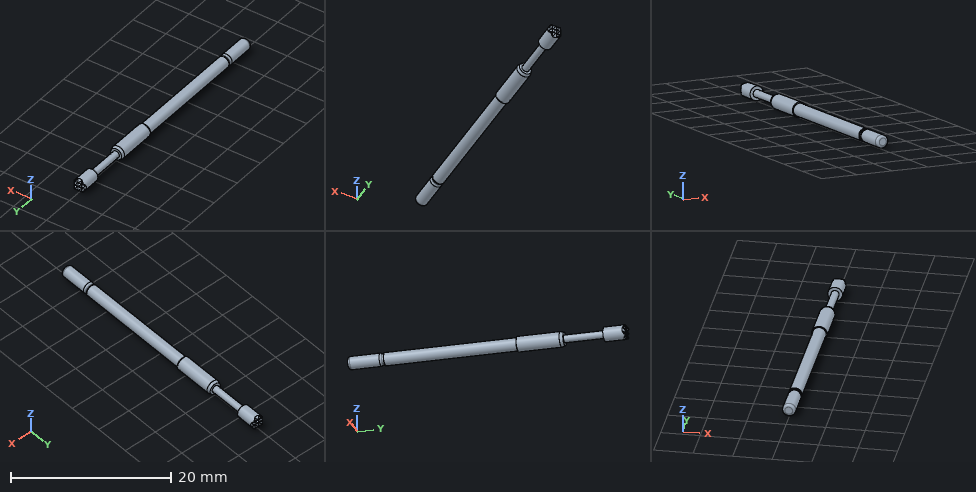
import cadquery as cq

length = 36.3
tip_y = length / 2

head_diameter = 1.9
head_length = 2.98
rod_diameter = 1.0

collar_diameter = 2.0
collar_start = 8.2
collar_end = 14.25
collar_chamfer_length = 0.45
collar_chamfer_depth = 0.15

barrel_diameter = 1.7
barrel_end_radius = 0.35
groove_start = 31.55
groove_floor_length = 0.25
groove_length = 0.55
groove_depth = 0.127

tooth_pitch = 0.58
tooth_slope = 1.3


def cylinder(diameter, start, end):
    """Round bar on the Y axis between two distances from the tip."""
    plane = cq.Workplane("XZ", origin=(0, tip_y - start, 0))
    return plane.circle(diameter / 2).extrude(end - start)


def make_collar():
    collar = cylinder(collar_diameter, collar_start, collar_end)
    collar_radius = collar_diameter / 2
    front_y = tip_y - collar_start
    corner_cut = (
        cq.Workplane("XY")
        .moveTo(collar_radius - collar_chamfer_depth, front_y)
        .lineTo(collar_radius, front_y)
        .lineTo(collar_radius, front_y - collar_chamfer_length)
        .close()
        .revolve(360, (0, 0, 0), (0, 1, 0))
    )
    return collar.cut(corner_cut)


def make_barrel():
    barrel = cylinder(barrel_diameter, collar_end, length)
    barrel = barrel.faces("<Y").edges().fillet(barrel_end_radius)
    barrel_radius = barrel_diameter / 2
    groove_y = tip_y - groove_start
    floor_radius = barrel_radius - groove_depth
    groove = (
        cq.Workplane("XY")
        .moveTo(barrel_radius, groove_y)
        .lineTo(floor_radius, groove_y)
        .lineTo(floor_radius, groove_y - groove_floor_length)
        .tangentArcPoint((barrel_radius, groove_y - groove_length), relative=False)
        .close()
        .revolve(360, (0, 0, 0), (0, 1, 0))
    )
    return barrel.cut(groove)


def tooth_valley(offset, half_width):
    """V-shaped cutter running along Z, with its root at the given X."""
    return (
        cq.Workplane("XY")
        .moveTo(offset - half_width, tip_y)
        .lineTo(offset, tip_y - half_width * tooth_slope)
        .lineTo(offset + half_width, tip_y)
        .close()
        .extrude(head_diameter, both=True)
    )


def make_head():
    head = cylinder(head_diameter, 0, head_length)
    for side in (-1, 1):
        between_teeth = tooth_valley(side * tooth_pitch / 2, tooth_pitch / 2)
        outside_teeth = tooth_valley(side * tooth_pitch * 2, tooth_pitch)
        for valley in (between_teeth, outside_teeth):
            head = head.cut(valley)
            head = head.cut(valley.rotate((0, 0, 0), (0, 1, 0), 90))
    return head


rod = cylinder(rod_diameter, head_length, collar_start)
result = make_barrel().union(make_collar()).union(rod).union(make_head())